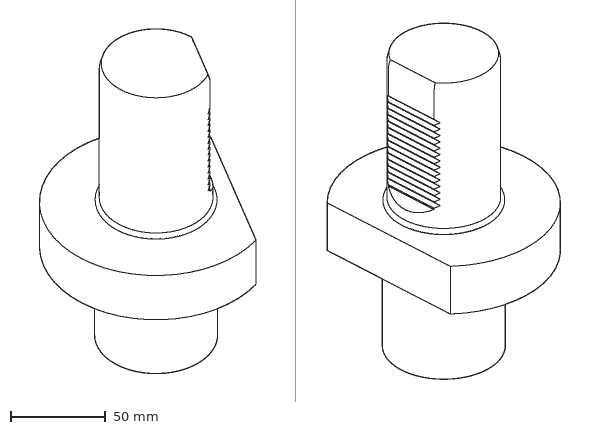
import cadquery as cq
import math

total_height = 184.0
nose_height = 60.0
flange_thickness = 30.0
flange_top = nose_height + flange_thickness

nose_diameter = 65.0
flange_diameter = 123.0
shank_diameter = 60.0

flange_flat_y = 42.3
shank_flat_y = 25.0

chamfer_height = 4.0
chamfer_angle = 15.0
chamfer_inset = chamfer_height * math.tan(math.radians(chamfer_angle))

nose_fillet_radius = 2.0

ring_diameter = 64.2
ring_tube_radius = 1.7

groove_count = 14
groove_span = 52.0
groove_pitch = groove_span / (groove_count - 1)
tooth_land = 0.2
groove_depth = (groove_pitch - tooth_land) / 2
first_groove_z = flange_top + 17.7

ramp_foot_z = flange_top + 10.0


def make_flange():
    """Disc with one side cut flat."""
    base = cq.Workplane("XY").workplane(offset=nose_height)
    disc = base.circle(flange_diameter / 2).extrude(flange_thickness)
    keep = (
        base
        .center(0, flange_flat_y - flange_diameter / 2)
        .rect(flange_diameter, flange_diameter)
        .extrude(flange_thickness)
    )
    return disc.intersect(keep)


def make_nose():
    """Plain cylinder below the flange, flaring out into it with a concave fillet."""
    radius = nose_diameter / 2
    fillet = nose_fillet_radius
    bend = fillet * (1 - math.sqrt(0.5))
    return (
        cq.Workplane("XZ")
        .lineTo(radius, 0)
        .lineTo(radius, nose_height - fillet)
        .threePointArc((radius + bend, nose_height - bend), (radius + fillet, nose_height))
        .lineTo(0, nose_height)
        .close()
        .revolve(360, (0, 0), (0, 1))
    )


def make_shank():
    """Cylinder with a ramped flat along the +Y side, chamfered all round its end."""
    radius = shank_diameter / 2
    chamfer_z = total_height - chamfer_height
    shank = (
        cq.Workplane("XZ")
        .moveTo(0, flange_top)
        .lineTo(radius, flange_top)
        .lineTo(radius, chamfer_z)
        .lineTo(radius - chamfer_inset, total_height)
        .lineTo(0, total_height)
        .close()
        .revolve(360, (0, 0), (0, 1))
    )
    flat_cut = (
        cq.Workplane("YZ")
        .moveTo(radius, ramp_foot_z)
        .lineTo(shank_flat_y, ramp_foot_z + radius - shank_flat_y)
        .lineTo(shank_flat_y, chamfer_z)
        .lineTo(shank_flat_y - chamfer_inset, total_height)
        .lineTo(radius, total_height)
        .close()
        .extrude(radius, both=True)
    )
    return shank.cut(flat_cut)


def make_groove(z):
    """V groove across the shank flat, centred at height z."""
    return (
        cq.Workplane("YZ")
        .moveTo(shank_flat_y - groove_depth, z)
        .lineTo(shank_flat_y, z + groove_depth)
        .lineTo(shank_flat_y, z - groove_depth)
        .close()
        .extrude(shank_diameter / 2, both=True)
    )


def make_ring():
    """Round-section ring resting on the flange."""
    centre_radius = ring_diameter / 2 - ring_tube_radius
    return (
        cq.Workplane("XZ")
        .moveTo(centre_radius, flange_top + ring_tube_radius)
        .circle(ring_tube_radius)
        .revolve(360, (0, 0), (0, 1))
    )


shank = make_shank()
for index in range(groove_count):
    shank = shank.cut(make_groove(first_groove_z + index * groove_pitch))

result = make_nose().union(make_flange()).union(shank).union(make_ring())